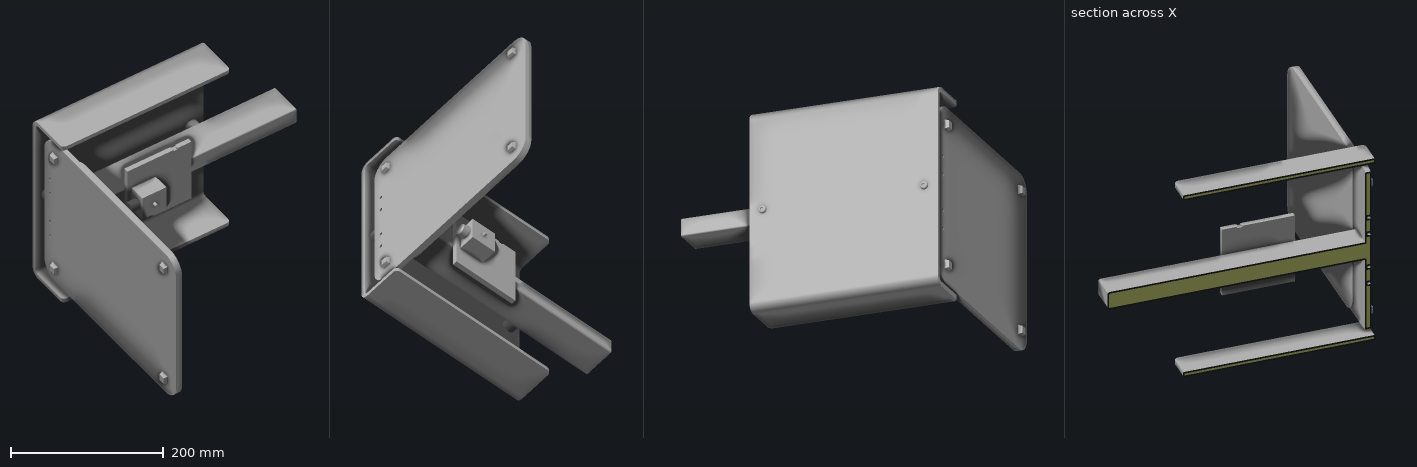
import cadquery as cq


overall_width = 327.2
overall_length = 372.11

guard_height = 279.4
guard_length = 266.7
guard_depth = 69.85
sheet_thickness = 6.35
bend_radius = 12.7
leg_corner_radius = 6.35

spacer_diameter = 19.05
spacer_length = 12.7
tube_x_start = sheet_thickness + spacer_length
tube_width = guard_depth - tube_x_start
tube_height = 25.4
tube_edge_radius = 2.4

plate_width = 304.8
plate_height = 247.65
plate_thickness = 9.53
plate_corner_radius = 25.4
foot_height = 5.8
plate_y_start = foot_height
plate_x_start = tube_x_start
relief_width = 56.35
relief_depth = 2.4

screw_inset = 19.05
screw_head_diameter = 11.1
screw_head_height = overall_width - plate_x_start - plate_width
screw_head_rounding = 2.4
screw_socket_diameter = 5.0
screw_socket_depth = 2.0

foot_size = 12.7
foot_taper_angle = 15
foot_inset = 25.4

mount_hole_diameter = 5.11
mount_hole_depth = 5.0
mount_hole_inset = 12.7
mount_hole_heights = (-50.8, -25.4, 25.4, 50.8)

backing_length = 101.6
backing_height = 101.6
backing_thickness = 7.1
backing_center_y = 148.6
notch_center_y = 174.4
notch_width = 8.5
notch_throat_width = 5.0
notch_taper_length = 2.8
notch_mouth_width = 7.0
notch_mouth_start = 5.7
notch_drop = 2.0
gasket_thickness = 1.4
gasket_inset = 0.7
box_depth = 24.0
box_length = 38.1
box_height = 38.1
box_center_y = 123.0
gland_diameter = 15.88
gland_length = 12.7
gland_chamfer = 1.6
button_diameter = 5.0
button_length = 5.7

tube_y_start = plate_y_start + plate_thickness - relief_depth

screw_positions = (screw_inset, guard_length - screw_inset)


def x_cylinder(diameter, x_start, length, y):
    """Cylinder along +X on the mid height of the part."""
    return cq.Workplane("YZ", origin=(x_start, y, 0)).circle(diameter / 2).extrude(length)


def block(x_start, x_size, y_start, y_size, z_size):
    """Box placed by its low X and Y corner and centred on Z."""
    return (
        cq.Workplane("XY")
        .box(x_size, y_size, z_size, centered=(False, False, True))
        .translate((x_start, y_start, 0))
    )


def make_guard():
    outer = block(0, guard_depth, 0, guard_length, guard_height)
    outer = outer.edges("|Y and <X").fillet(bend_radius)
    inner = block(
        sheet_thickness, guard_depth, 0, guard_length, guard_height - 2 * sheet_thickness
    )
    inner = inner.edges("|Y and <X").fillet(bend_radius - sheet_thickness)
    return outer.cut(inner).edges("|Z and >X").fillet(leg_corner_radius)


def make_screw_head(y):
    head = x_cylinder(screw_head_diameter, -screw_head_height, screw_head_height, y)
    head = head.faces("<X").edges().fillet(screw_head_rounding)
    socket = x_cylinder(screw_socket_diameter, -screw_head_height, screw_socket_depth, y)
    return head.cut(socket)


def make_tube():
    tube_length = overall_length - tube_y_start
    tube = block(tube_x_start, tube_width, tube_y_start, tube_length, tube_height)
    return tube.edges("|Y").fillet(tube_edge_radius).faces(">Y").edges().fillet(tube_edge_radius)


def make_plate():
    """Face plate with rounded corners, thinned from behind along its -X edge."""
    front_thickness = plate_thickness - relief_depth
    front = block(plate_x_start, plate_width, plate_y_start, front_thickness, plate_height)
    back = block(
        plate_x_start + relief_width,
        plate_width - relief_width,
        plate_y_start + front_thickness,
        relief_depth,
        plate_height,
    )
    front = front.edges("|Y").fillet(plate_corner_radius)
    back = back.edges("|Y").fillet(plate_corner_radius)
    holes = (
        cq.Workplane("XZ", origin=(plate_x_start + mount_hole_inset, plate_y_start, 0))
        .pushPoints([(0, z) for z in mount_hole_heights])
        .circle(mount_hole_diameter / 2)
        .extrude(-mount_hole_depth)
    )
    return front.union(back).cut(holes)


def make_feet():
    return (
        cq.Workplane("XZ", origin=(plate_x_start + plate_width / 2, plate_y_start, 0))
        .rarray(plate_width - 2 * foot_inset, plate_height - 2 * foot_inset, 2, 2)
        .rect(foot_size, foot_size)
        .extrude(foot_height, taper=foot_taper_angle)
    )


def make_backing_plate():
    plate = block(
        guard_depth,
        backing_thickness,
        backing_center_y - backing_length / 2,
        backing_length,
        backing_height,
    )
    top_plane = cq.Workplane("XY", origin=(guard_depth, notch_center_y, backing_height / 2))
    notch = (
        top_plane.moveTo(0, -notch_width / 2)
        .lineTo(notch_taper_length, -notch_throat_width / 2)
        .lineTo(notch_mouth_start, -notch_throat_width / 2)
        .lineTo(notch_mouth_start, -notch_mouth_width / 2)
        .lineTo(backing_thickness, -notch_mouth_width / 2)
        .lineTo(backing_thickness, notch_mouth_width / 2)
        .lineTo(notch_mouth_start, notch_mouth_width / 2)
        .lineTo(notch_mouth_start, notch_throat_width / 2)
        .lineTo(notch_taper_length, notch_throat_width / 2)
        .lineTo(0, notch_width / 2)
        .close()
        .extrude(-notch_drop)
    )
    return plate.cut(notch)


def make_switch_box():
    gasket_x_start = guard_depth + backing_thickness
    box_x_start = gasket_x_start + gasket_thickness
    box_y_start = box_center_y - box_length / 2
    box = block(box_x_start, box_depth, box_y_start, box_length, box_height)
    gasket = block(
        gasket_x_start,
        gasket_thickness,
        box_y_start + gasket_inset,
        box_length - 2 * gasket_inset,
        box_height - 2 * gasket_inset,
    )
    gland = (
        cq.Workplane("XZ", origin=(box_x_start + box_depth / 2, box_y_start, 0))
        .circle(gland_diameter / 2)
        .extrude(gland_length)
        .faces("<Y")
        .chamfer(gland_chamfer)
    )
    button = x_cylinder(button_diameter, box_x_start + box_depth, button_length, box_center_y)
    return box.union(gasket).union(gland).union(button)


result = make_guard().union(make_tube())
for screw_y in screw_positions:
    result = result.union(x_cylinder(spacer_diameter, sheet_thickness, spacer_length, screw_y))
    result = result.union(make_screw_head(screw_y))
result = result.union(make_plate()).union(make_feet())
result = result.union(make_backing_plate()).union(make_switch_box())